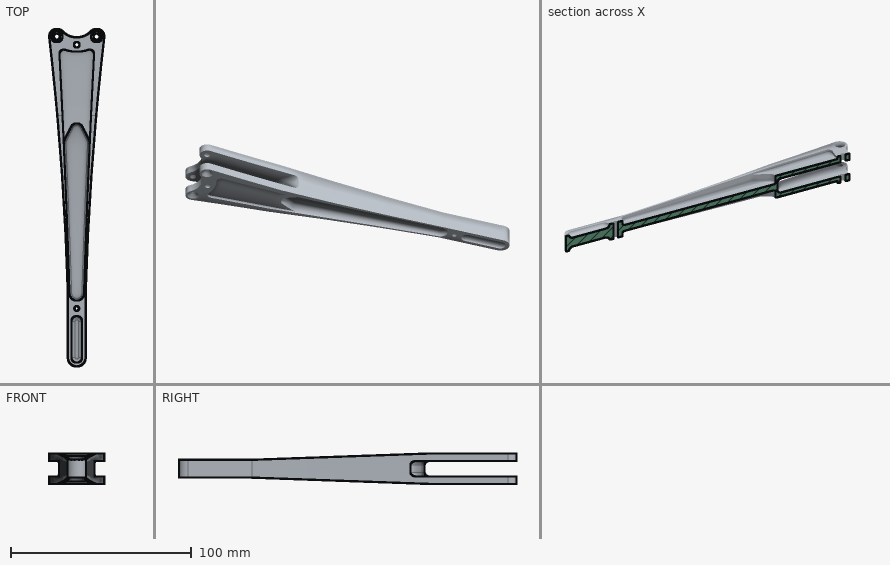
import math

import cadquery as cq


total_length = 186.95
fork_thickness = 17.0
tip_thickness = 10.0
tip_width = 10.0
taper_start_y = -43.8
taper_end_y = -142.2

lug_radius = 4.3
lug_spacing = 22.0
notch_radius = 11.0

flank_lean = 6.6
flank_mid_y = -71.0
flank_mid_half_width = 8.6

slot_height = 8.5
slot_nose_y = -46.6
slot_nose_radius = 5.0
slot_flank_angle = 45.0
slot_fillet = 2.25

pocket_depth = 1.5
pocket_notch_wall = 8.0
pocket_fork_half_width = 9.8
pocket_corner_radius = 2.5
pocket_mid_y = -75.0
pocket_mid_half_width = 6.5
pocket_end_radius = 4.0

deep_floor_z = 2.0
deep_nose_y = -48.0
deep_nose_radius = 3.5
deep_flank_angle = 27.0
deep_corner_radius = 5.0
deep_floor_fillet = 1.2

groove_width = 6.0
groove_depth = 2.1
groove_start_y = -154.7
groove_end_y = -180.5

lug_hole_diameter = 3.4
countersink_diameter = 6.2
countersink_depth = 1.4
fork_hole_diameter = 3.0
fork_hole_y = -4.5
arm_hole_diameter = 2.5
arm_hole_y = -150.5

top_z = fork_thickness / 2
tip_top_z = tip_thickness / 2
lug_x = lug_spacing / 2
tip_half_width = tip_width / 2
tip_y = lug_radius - total_length
tip_center_y = tip_y + tip_half_width
notch_center_y = math.sqrt((notch_radius + lug_radius) ** 2 - lug_x**2)

clearance = 5.0
pick_margin = 1.0
reach_x = lug_x + lug_radius + clearance


def plan_body():
    """Outline seen along Z, at full fork thickness."""
    lean = math.radians(flank_lean)
    flank_x = lug_x + lug_radius * math.cos(lean)
    flank_y = -lug_radius * math.sin(lean)
    lug_share = lug_radius / (lug_radius + notch_radius)
    notch_end_x = lug_x * (1 - lug_share)
    notch_end_y = notch_center_y * lug_share
    return (
        cq.Workplane("XY")
        .workplane(offset=-top_z)
        .moveTo(flank_x, flank_y)
        .threePointArc((lug_x, lug_radius), (notch_end_x, notch_end_y))
        .threePointArc((0, notch_center_y - notch_radius), (-notch_end_x, notch_end_y))
        .threePointArc((-lug_x, lug_radius), (-flank_x, flank_y))
        .threePointArc((-flank_mid_half_width, flank_mid_y), (-tip_half_width, taper_end_y))
        .lineTo(-tip_half_width, tip_center_y)
        .threePointArc((0, tip_y), (tip_half_width, tip_center_y))
        .lineTo(tip_half_width, taper_end_y)
        .threePointArc((flank_mid_half_width, flank_mid_y), (flank_x, flank_y))
        .close()
        .extrude(fork_thickness)
    )


def side_body():
    """Profile seen along X: thick at the fork, tapering to the tip."""
    upper = [
        (lug_radius, top_z),
        (taper_start_y, top_z),
        (taper_end_y, tip_top_z),
        (tip_y, tip_top_z),
    ]
    lower = [(y, -z) for y, z in reversed(upper)]
    return cq.Workplane("YZ").polyline(upper + lower).close().extrude(reach_x, both=True)


def wedge(nose_y, nose_radius, flank_angle, back_y, bottom_z, height):
    """Block between back_y and a wedge line: a round nose with two flanks falling toward -Y.

    The flank angle is measured from the Y axis.
    """
    angle = math.radians(flank_angle)
    tangent_x = nose_radius * math.cos(angle)
    tangent_y = nose_y - nose_radius * (1 - math.sin(angle))
    flank_end_y = tangent_y - (reach_x - tangent_x) / math.tan(angle)
    return (
        cq.Workplane("XY")
        .workplane(offset=bottom_z)
        .moveTo(-reach_x, flank_end_y)
        .lineTo(-tangent_x, tangent_y)
        .threePointArc((0, nose_y), (tangent_x, tangent_y))
        .lineTo(reach_x, flank_end_y)
        .lineTo(reach_x, back_y)
        .lineTo(-reach_x, back_y)
        .close()
        .extrude(height)
    )


def upright_edges_between(solid, y_low, y_high):
    box = cq.selectors.BoxSelector((-reach_x, y_low, -top_z), (reach_x, y_high, 2 * top_z))
    return solid.edges("|Z").edges(box)


def slot_cutter():
    """Gap between the prongs, filleted where the wedge meets them."""
    block = wedge(
        slot_nose_y,
        slot_nose_radius,
        slot_flank_angle,
        lug_radius + clearance,
        -slot_height / 2,
        slot_height,
    )
    wedge_box = cq.selectors.BoxSelector(
        (pick_margin - reach_x, taper_end_y, -top_z),
        (reach_x - pick_margin, slot_nose_y + pick_margin, top_z),
    )
    return block.faces("|Z").edges(wedge_box).fillet(slot_fillet)


def pocket_block(floor_z):
    """Upright block with the pocket outline, from floor_z to above the part."""
    end_radius = notch_radius + pocket_notch_wall
    corner_x = pocket_fork_half_width
    corner_y = notch_center_y - math.sqrt(end_radius**2 - corner_x**2)
    block = (
        cq.Workplane("XY")
        .workplane(offset=floor_z)
        .moveTo(-corner_x, corner_y)
        .threePointArc((0, notch_center_y - end_radius), (corner_x, corner_y))
        .threePointArc((pocket_mid_half_width, pocket_mid_y), (pocket_end_radius, taper_end_y))
        .threePointArc((0, taper_end_y - pocket_end_radius), (-pocket_end_radius, taper_end_y))
        .threePointArc((-pocket_mid_half_width, pocket_mid_y), (-corner_x, corner_y))
        .close()
        .extrude(top_z + clearance - floor_z)
    )
    corners = upright_edges_between(block, corner_y - pick_margin, corner_y + pick_margin)
    return corners.fillet(pocket_corner_radius)


def shallow_pocket_cutter():
    return pocket_block(top_z - pocket_depth)


def deep_pocket_cutter():
    """Pocket block cut off by a wedge at its fork end, with a filleted floor."""
    limit = wedge(
        deep_nose_y,
        deep_nose_radius,
        deep_flank_angle,
        tip_y,
        deep_floor_z,
        fork_thickness,
    )
    block = pocket_block(deep_floor_z).intersect(limit)
    nose_tangent_y = deep_nose_y - deep_nose_radius
    block = upright_edges_between(block, pocket_mid_y, nose_tangent_y).fillet(deep_corner_radius)
    return block.faces("<Z").edges().fillet(deep_floor_fillet)


def groove_cutter():
    block = (
        cq.Workplane("XY")
        .workplane(offset=tip_top_z - groove_depth)
        .center(0, (groove_start_y + groove_end_y) / 2)
        .slot2D(groove_start_y - groove_end_y, groove_width, 90)
        .extrude(groove_depth + clearance)
    )
    return block.faces("<Z").edges().fillet(groove_depth)


def through_hole(x, y, diameter):
    return cq.Workplane("XY").center(x, y).circle(diameter / 2).extrude(top_z + clearance, both=True)


def countersink(x):
    """Cone in the upper face around a lug hole."""
    return (
        cq.Workplane("XY")
        .workplane(offset=top_z)
        .center(x, 0)
        .circle(countersink_diameter / 2)
        .workplane(offset=-countersink_depth)
        .circle(lug_hole_diameter / 2)
        .loft()
    )


result = plan_body().intersect(side_body()).cut(slot_cutter())

face_cutters = [
    shallow_pocket_cutter(),
    deep_pocket_cutter(),
    groove_cutter(),
    countersink(-lug_x),
    countersink(lug_x),
]
for cutter in face_cutters:
    result = result.cut(cutter).cut(cutter.mirror("XY"))

holes = [
    (-lug_x, 0, lug_hole_diameter),
    (lug_x, 0, lug_hole_diameter),
    (0, fork_hole_y, fork_hole_diameter),
    (0, arm_hole_y, arm_hole_diameter),
]
for hole_x, hole_y, hole_diameter in holes:
    result = result.cut(through_hole(hole_x, hole_y, hole_diameter))